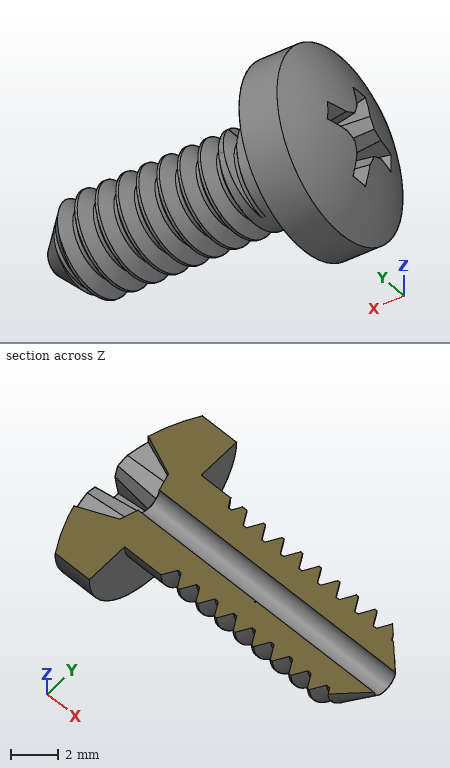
import math

import cadquery as cq


head_diameter = 9.24
head_radius = head_diameter / 2
rim_height = 1.96
dome_height = 1.32

shank_diameter = 4.826
shank_radius = shank_diameter / 2
shank_length = 12.64
bore_radius = 0.66
tip_length = shank_radius - bore_radius

inch = 25.4
threads_per_inch = 24
pitch = inch / threads_per_inch
crest_flat = pitch / 8
root_flat = pitch / 6
flank_slope = math.tan(math.radians(30))
groove_mouth = pitch - crest_flat
groove_depth = (groove_mouth - root_flat) / 2 / flank_slope
root_radius = shank_radius - groove_depth
plain_length = 1.67
groove_start = plain_length + groove_mouth / 2
groove_start_angle = 45
run_out_taper = math.radians(60)
cut_tolerance = 1e-4
groove_overshoot = 0.03

arm_half_width = 0.49
arm_length = 2.46
web_distance = 0.935
web_angle = math.radians(22.5)
wall_lean = 0.129
end_lean = 0.432
recess_depth = 2.2
floor_slope = 0.3

apex_z = -(rim_height + dome_height)


def make_body():
    """Head and pointed shank, turned in one piece."""
    dome_radius = (head_radius**2 + dome_height**2) / (2 * dome_height)
    half_angle = math.asin(head_radius / dome_radius) / 2
    dome_middle = (
        dome_radius * math.sin(half_angle),
        apex_z + dome_radius * (1 - math.cos(half_angle)),
    )
    profile = (
        cq.Workplane("XZ")
        .moveTo(0, apex_z)
        .threePointArc(dome_middle, (head_radius, -rim_height))
        .lineTo(head_radius, 0)
        .lineTo(shank_radius, 0)
        .lineTo(shank_radius, shank_length - tip_length)
        .lineTo(bore_radius, shank_length)
        .lineTo(0, shank_length)
        .close()
    )
    return profile.revolve(360, (0, 0, 0), (0, 1, 0))


def groove_section(inner_radius, middle_z):
    """Cross-section of the thread groove in the XZ plane, widened a little beyond the shank."""
    depth = groove_depth + groove_overshoot
    half_root = root_flat / 2
    half_outer = half_root + depth * flank_slope
    return cq.Workplane("XZ").polyline(
        [
            (inner_radius, middle_z - half_root),
            (inner_radius + depth, middle_z - half_outer),
            (inner_radius + depth, middle_z + half_outer),
            (inner_radius, middle_z + half_root),
        ]
    ).close()


def turn_about_axis(shape, angle):
    return shape.rotate((0, 0, 0), (0, 0, 1), angle)


def make_groove():
    """Cutter for the full-depth groove, running on past the tip."""
    height = shank_length - groove_start + pitch
    helix = cq.Wire.makeHelix(pitch, height, root_radius, cq.Vector(0, 0, groove_start))
    groove = groove_section(root_radius, groove_start).sweep(cq.Workplane(helix), isFrenet=True)
    return turn_about_axis(groove, groove_start_angle)


def make_run_out():
    """Cutter that carries the groove on towards the head while it rises out of the shank."""
    rise = groove_depth + groove_overshoot
    height = rise / math.tan(run_out_taper)
    start_radius = root_radius + rise
    start_z = groove_start - height
    slant = math.cos(run_out_taper)
    helix = cq.Wire.makeHelix(
        pitch / slant,
        height / slant,
        start_radius,
        cq.Vector(0, 0, start_z),
        angle=-math.degrees(run_out_taper),
    )
    run_out = groove_section(start_radius, start_z).sweep(cq.Workplane(helix), isFrenet=True)
    return turn_about_axis(run_out, groove_start_angle - 360 * height / pitch)


def cross_outline(depth):
    """Corners of the cross at the given depth below the dome apex."""
    half_width = arm_half_width - wall_lean * depth
    length = arm_length - end_lean * depth
    web = web_distance - wall_lean * depth
    shoulder = (web - half_width * math.cos(web_angle)) / math.sin(web_angle)
    inner = web / (math.cos(web_angle) + math.sin(web_angle))
    arm = [
        (shoulder, -half_width),
        (length, -half_width),
        (length, half_width),
        (shoulder, half_width),
        (inner, inner),
    ]
    corners = []
    for quarter in range(4):
        for x, y in arm:
            for _ in range(quarter):
                x, y = -y, x
            corners.append((x, y))
    return corners


def make_recess():
    """Tapered cross with a conical floor that is deepest at the axis."""
    floor_radius = arm_length - end_lean * recess_depth
    axis_depth = recess_depth + floor_slope * floor_radius
    cross = (
        cq.Workplane("XY", origin=(0, 0, apex_z))
        .polyline(cross_outline(0))
        .close()
        .workplane(offset=axis_depth)
        .polyline(cross_outline(axis_depth))
        .close()
        .loft(ruled=True)
    )
    bowl = (
        cq.Workplane("XZ")
        .moveTo(0, apex_z)
        .lineTo(head_radius, apex_z)
        .lineTo(head_radius, apex_z + axis_depth - floor_slope * head_radius)
        .lineTo(0, apex_z + axis_depth)
        .close()
        .revolve(360, (0, 0, 0), (0, 1, 0))
    )
    return cross.intersect(bowl)


def make_bore():
    return cq.Workplane("XY", origin=(0, 0, apex_z)).circle(bore_radius).extrude(shank_length - apex_z)


screw = make_body().cut(make_groove(), tol=cut_tolerance).cut(make_run_out())
screw = screw.cut(make_recess()).cut(make_bore())

result = screw.rotate((0, 0, 0), (1, 1, 1), 120)